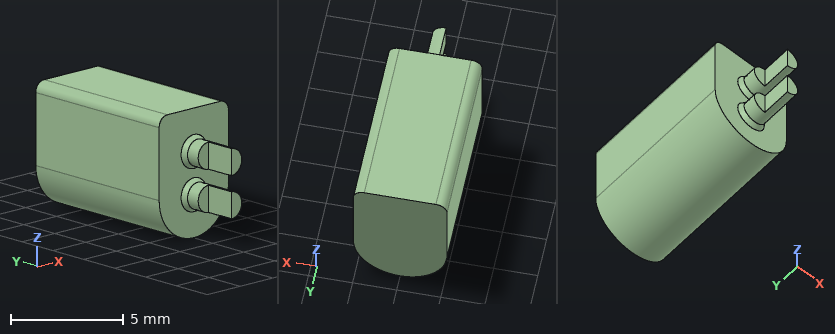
import cadquery as cq

TOTAL_LENGTH = 10.45
HOUSING_WIDTH = 4.25
HOUSING_HEIGHT = 6.0
TOP_CORNER_RADIUS = 0.5
PIN_LENGTH = 2.45
PIN_RADIUS = 0.63
PIN_FLAT_LENGTH = 1.5
FLARE_RADIUS = 0.78
FLARE_LENGTH = 0.25
PIN_PITCH = 2.0
LOWER_PIN_HEIGHT = 2.0

HOUSING_LENGTH = TOTAL_LENGTH - PIN_LENGTH
HALF_WIDTH = HOUSING_WIDTH / 2
HOUSING_TOP = HOUSING_HEIGHT - HALF_WIDTH
LOWER_PIN_Z = LOWER_PIN_HEIGHT - HALF_WIDTH
PIN_HEIGHTS = [LOWER_PIN_Z, LOWER_PIN_Z + PIN_PITCH]


def make_housing():
    """Block with a half-round underside and rounded top edges."""
    outline = (
        cq.Workplane("XZ")
        .moveTo(-HALF_WIDTH, HOUSING_TOP)
        .lineTo(-HALF_WIDTH, 0)
        .threePointArc((0, -HALF_WIDTH), (HALF_WIDTH, 0))
        .lineTo(HALF_WIDTH, HOUSING_TOP)
        .close()
    )
    block = outline.extrude(-HOUSING_LENGTH)
    return block.faces(">Z").edges("|Y").fillet(TOP_CORNER_RADIUS)


def make_pin(height):
    """Round pin with a conical flare at its root and a half-round free end."""
    turned_pin = (
        cq.Workplane("YZ")
        .lineTo(0, FLARE_RADIUS)
        .lineTo(-FLARE_LENGTH, PIN_RADIUS)
        .lineTo(-PIN_LENGTH, PIN_RADIUS)
        .lineTo(-PIN_LENGTH, 0)
        .close()
        .revolve(360, (0, 0, 0), (1, 0, 0))
    )
    removed_half = (
        cq.Workplane("XY")
        .box(PIN_RADIUS, PIN_FLAT_LENGTH, 2 * PIN_RADIUS)
        .translate((-PIN_RADIUS / 2, -PIN_LENGTH + PIN_FLAT_LENGTH / 2, 0))
    )
    return turned_pin.cut(removed_half).translate((0, 0, height))


housing = make_housing()
pins = [make_pin(height) for height in PIN_HEIGHTS]

result = cq.Compound.makeCompound([housing.val(), *[pin.val() for pin in pins]])